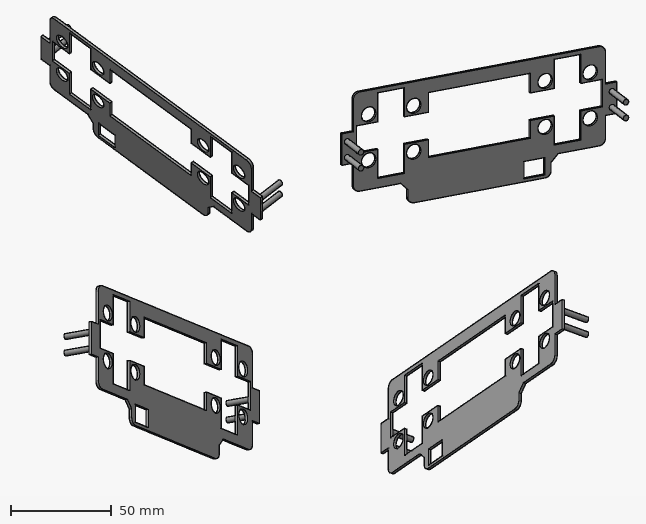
import cadquery as cq

thickness = 1.5
overall_width = 152.0
overall_height = 65.0
body_width = 139.6
body_top = 25.2
body_bottom = -28.0
corner_radius = 3.5

ear_top = 4.5
ear_bottom = -12.3

skirt_width = 79.4
skirt_bottom = body_top - overall_height
shoulder_width = 3.8
shoulder_height = 4.0

slot_length = 136.0
slot_height = 14.8
column_offset = 48.8
column_width = 14.8
column_height = 46.0
window_width = 56.3
window_top = 18.0
window_bottom = -16.9
square_left = -36.2
square_right = -24.6
square_top = -28.7
square_bottom = -38.0

hole_diameter = 7.9
hole_offset_x = 12.5
hole_offset_z = 12.3

pin_length = 15.7
pin_offset = 73.3
pin_diameter = 3.0
upper_pin_z = 0.0
lower_pin_z = -8.5


def plate_block(left, right, bottom, top):
    """Rectangular block through the plate thickness."""
    return cq.Workplane("XY").box(right - left, thickness, top - bottom, centered=False).translate(
        (left, 0, bottom)
    )


def centred_block(width, bottom, top, centre_x=0):
    """Plate block centred on the given X position."""
    return plate_block(centre_x - width / 2, centre_x + width / 2, bottom, top)


def cylinder_along_y(x, z, diameter, start, length):
    """Cylinder running toward +Y from the given start."""
    return cq.Workplane("XZ", origin=(x, start, z)).circle(diameter / 2).extrude(-length)


def make_skirt():
    half = skirt_width / 2
    shoulder_half = half + shoulder_width
    shoulders = (
        cq.Workplane("XZ")
        .moveTo(-shoulder_half, body_bottom)
        .lineTo(shoulder_half, body_bottom)
        .lineTo(half, body_bottom - shoulder_height)
        .lineTo(-half, body_bottom - shoulder_height)
        .close()
        .extrude(-thickness)
    )
    panel = centred_block(skirt_width, skirt_bottom, body_bottom)
    panel = panel.edges("|Y and <Z").fillet(corner_radius)
    return panel.union(shoulders)


def make_plate():
    body = centred_block(body_width, body_bottom, body_top).edges("|Y").fillet(corner_radius)
    ears = centred_block(overall_width, ear_bottom, ear_top)
    return body.union(ears).union(make_skirt())


def cut_openings(plate):
    plate = plate.cut(centred_block(slot_length, -slot_height / 2, slot_height / 2))
    plate = plate.cut(centred_block(window_width, window_bottom, window_top))
    plate = plate.cut(plate_block(square_left, square_right, square_bottom, square_top))
    for side in (-1, 1):
        column_x = side * column_offset
        plate = plate.cut(centred_block(column_width, -column_height / 2, column_height / 2, column_x))
        for dx in (-hole_offset_x, hole_offset_x):
            for z in (-hole_offset_z, hole_offset_z):
                plate = plate.cut(cylinder_along_y(column_x + dx, z, hole_diameter, 0, thickness))
    return plate


def add_pins(plate):
    root = thickness / 2
    length = pin_length + thickness - root
    for x in (-pin_offset, pin_offset):
        for z in (lower_pin_z, upper_pin_z):
            plate = plate.union(cylinder_along_y(x, z, pin_diameter, root, length))
    return plate


result = add_pins(cut_openings(make_plate()))